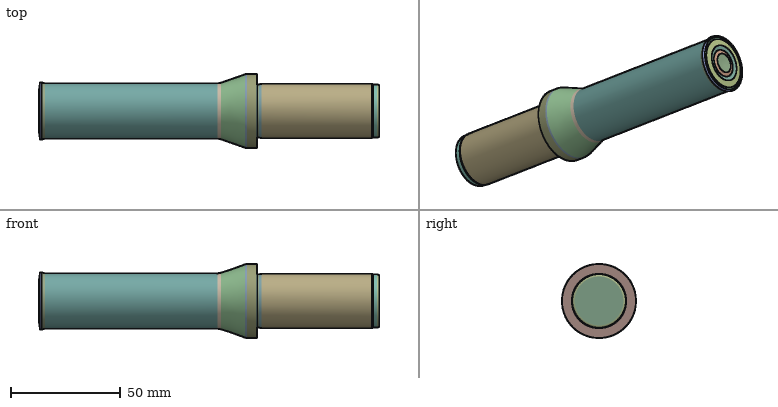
import cadquery as cq
import math

LENGTH = 156.0
LONG_RADIUS = 25.5 / 2
COLLAR_RADIUS = 34.0 / 2
SHORT_RADIUS = 25.0 / 2
NECK_RADIUS = 24.5 / 2

LIP_RADIUS = 13.3
LIP_CREST_X = 1.2
LIP_BACK_RADIUS = 13.1
LIP_BACK_X = 1.5
LIP_TAPER_END_X = 3.0

SHOULDER_START_X = 82.7
COLLAR_START_X = 95.0
COLLAR_END_X = 100.0
SHOULDER_ROOT_FILLET = 5.1
SHOULDER_RIM_FILLET = 2.7
COLLAR_BACK_FILLET = 0.5

COLLAR_NECK_LENGTH = 1.0
COLLAR_NECK_TAPER = 1.1
END_NECK_LENGTH = 3.0
END_NECK_TAPER = 0.6
END_FILLET = 1.1

PLUG_RADIUS = 11.5
PLUG_DEPTH = 4.7
FACE_TILT = 8.0
GROOVE_TILT = 14.0
DISH_TILT = 5.5
GROOVE_OUTER_RADIUS = 8.5
GROOVE_BOTTOM_RADIUS = 6.4
DISH_RADIUS = 4.5
END_FACE_RADIUS = 12.5


def cone_rise(radial_width, tilt):
    """Axial change along a cone that leans by tilt degrees from a flat face."""
    return radial_width * math.tan(math.radians(tilt))


def end_face_x(radius):
    """Axial position of the domed left end at the given radius."""
    return cone_rise(radius - GROOVE_OUTER_RADIUS, FACE_TILT)


def revolve_about_x(profile):
    return profile.close().revolve(360, (0, 0, 0), (1, 0, 0))


def circle_edge(body, x, radius):
    """Select the circular edge of the given radius centred on the axis at x."""
    margin = 0.08
    box = cq.selectors.BoxSelector(
        (x - margin, -radius - margin, -radius - margin),
        (x + margin, radius + margin, radius + margin),
        boundingbox=True,
    )
    return body.edges(box).edges(cq.selectors.RadiusNthSelector(-1))


def make_pillar():
    rim_x = end_face_x(END_FACE_RADIUS)
    collar_neck_end_x = COLLAR_END_X + COLLAR_NECK_LENGTH
    end_neck_start_x = LENGTH - END_NECK_LENGTH
    profile = (
        cq.Workplane("XY")
        .moveTo(PLUG_DEPTH, 0)
        .lineTo(PLUG_DEPTH, PLUG_RADIUS)
        .lineTo(end_face_x(PLUG_RADIUS), PLUG_RADIUS)
        .lineTo(rim_x, END_FACE_RADIUS)
        .threePointArc((LIP_CREST_X, LIP_RADIUS), (LIP_BACK_X, LIP_BACK_RADIUS))
        .lineTo(LIP_TAPER_END_X, LONG_RADIUS)
        .lineTo(SHOULDER_START_X, LONG_RADIUS)
        .lineTo(COLLAR_START_X, COLLAR_RADIUS)
        .lineTo(COLLAR_END_X, COLLAR_RADIUS)
        .lineTo(COLLAR_END_X, NECK_RADIUS)
        .lineTo(collar_neck_end_x, NECK_RADIUS)
        .lineTo(collar_neck_end_x + COLLAR_NECK_TAPER, SHORT_RADIUS)
        .lineTo(end_neck_start_x - END_NECK_TAPER, SHORT_RADIUS)
        .lineTo(end_neck_start_x, NECK_RADIUS)
        .lineTo(LENGTH, NECK_RADIUS)
        .lineTo(LENGTH, 0)
    )
    pillar = revolve_about_x(profile)
    pillar = circle_edge(pillar, SHOULDER_START_X, LONG_RADIUS).fillet(SHOULDER_ROOT_FILLET)
    pillar = circle_edge(pillar, COLLAR_START_X, COLLAR_RADIUS).fillet(SHOULDER_RIM_FILLET)
    pillar = circle_edge(pillar, COLLAR_END_X, COLLAR_RADIUS).fillet(COLLAR_BACK_FILLET)
    return circle_edge(pillar, LENGTH, NECK_RADIUS).fillet(END_FILLET)


def make_plug():
    groove_bottom_x = cone_rise(GROOVE_OUTER_RADIUS - GROOVE_BOTTOM_RADIUS, GROOVE_TILT)
    dish_rim_x = groove_bottom_x - cone_rise(GROOVE_BOTTOM_RADIUS - DISH_RADIUS, GROOVE_TILT)
    dish_centre_x = dish_rim_x + cone_rise(DISH_RADIUS, DISH_TILT)
    profile = (
        cq.Workplane("XY")
        .moveTo(dish_centre_x, 0)
        .lineTo(dish_rim_x, DISH_RADIUS)
        .lineTo(groove_bottom_x, GROOVE_BOTTOM_RADIUS)
        .lineTo(0, GROOVE_OUTER_RADIUS)
        .lineTo(end_face_x(PLUG_RADIUS), PLUG_RADIUS)
        .lineTo(PLUG_DEPTH, PLUG_RADIUS)
        .lineTo(PLUG_DEPTH, 0)
    )
    return revolve_about_x(profile)


pillar = make_pillar()
plug = make_plug()

result = cq.Compound.makeCompound([pillar.val(), plug.val()])